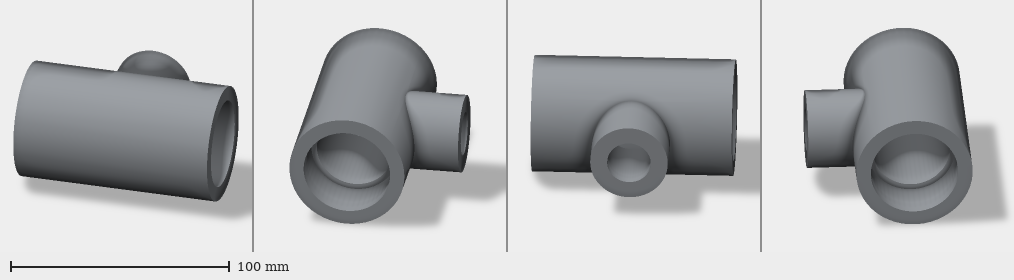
import cadquery as cq

run_length = 92.0
run_diameter = 53.3
bore_diameter = 35.0

socket_diameter = 40.0
socket_depth = 22.0

branch_diameter = 35.5
branch_reach = 46.8
branch_bore_diameter = 20.0


def cylinder_along_x(diameter, start, length):
    return cq.Workplane("YZ").workplane(offset=start).circle(diameter / 2).extrude(length)


def cylinder_along_y(diameter, length):
    return cq.Workplane("XZ").circle(diameter / 2).extrude(-length)


run_end = run_length / 2

body = cylinder_along_x(run_diameter, -run_end, run_length)
body = body.union(cylinder_along_y(branch_diameter, branch_reach))

body = body.cut(cylinder_along_x(bore_diameter, -run_end, run_length))
body = body.cut(cylinder_along_y(branch_bore_diameter, branch_reach))

for socket_start in (-run_end, run_end - socket_depth):
    body = body.cut(cylinder_along_x(socket_diameter, socket_start, socket_depth))

result = body